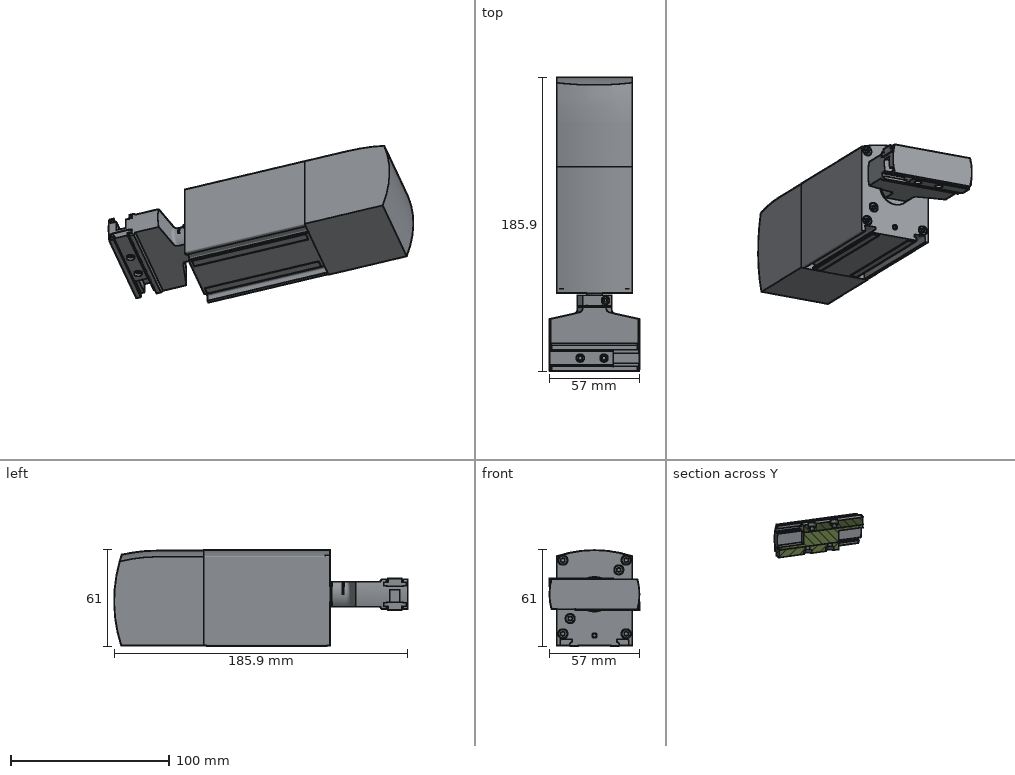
import cadquery as cq
import math


body_width = 48.0
half_width = body_width / 2
body_bottom = -32.5
arch_top = 28.0
shoulder_z = 24.0
housing_length = 80.0
edge_radius = 0.8
cap_drop = 0.3
cap_rear_y = 136.65
cap_rear_bulge = 4.5
cap_bulge_peak_z = -4.3
cap_curve_length = 28.2
cap_curve_radius = 108.0
cap_curve_angle = 20.0
cap_core_top = 15.0

slot_inner_x = 14.1
slot_outer_x = 21.6
slot_depth = 4.0
slot_corner_radius = 0.8
lip_width = 1.6
lip_height = 1.3
lip_slope_height = 1.2
pad_inner_x = 10.35
pad_outer_x = 15.4
pad_height = 0.5
pad_end_margin = 2.0

m3_thread = 3.0
m3_head = 5.5
m3_counterbore = 6.0
m3_head_height = 3.0
m3_hex = 2.5
hex_depth = 1.5
m3_length = 8.0
mount_offset = 15.4
corner_screw_x = 20.0
corner_screw_top_z = 21.5
corner_screw_bottom_z = -25.0

port_z = -26.1
port_diameter = 3.0
port_core = 2.46
port_mouth_depth = 1.0
port_depth = 6.0

pilot_diameter = 22.0
pilot_depth = 3.0
shaft_diameter = 10.0
shaft_tip_y = -12.0

hub_diameter = 22.0
hub_rear_y = -1.2
head_tip_y = -49.25
neck_half_height = 8.0
jaw_half_height = 9.5
flare_start_y = -31.6
flare_end_y = -32.8
shoulder_inner_x = 5.0
shoulder_inner_y = -11.1
wing_half_width = 28.5
wing_corner_y = -16.3
side_radius = 34.0
relief_rear_y = -7.8
relief_width = 1.0
hub_fillet = 2.0

clamp_screw_x = 7.0
clamp_screw_y = -4.5
m25_thread = 2.5
m25_head = 4.5
m25_counterbore = 5.0
m25_clearance = 2.7
m25_head_height = 2.5
m25_hex = 2.0
clamp_screw_tip_z = -6.0

strip_center_y = -41.0
strip_end_x = 12.0
strip_top_z = 10.0
strip_neck_width = 8.75
strip_neck_gap = 1.75
flange_width = 14.3
flange_top_z = 7.7
flange_bottom_z = 5.4
foot_width = 10.5
foot_bottom_z = 5.0
strip_hole_xs = (-9.0, 6.0)
strip_counterbore_depth = 2.5
pocket_width = 6.3
pocket_floor_z = -2.75


def box(x0, x1, y0, y1, z0, z1):
    size = (x1 - x0, y1 - y0, z1 - z0)
    return cq.Workplane("XY").box(*size, centered=False).translate((x0, y0, z0))


def rod_y(diameter, y_front, y_rear, x=0.0, z=0.0):
    """Cylinder along Y from y_front to y_rear."""
    base = cq.Workplane("XZ", origin=(x, y_front, z))
    return base.circle(diameter / 2).extrude(y_front - y_rear)


def hex_y(across_flats, depth, x, z):
    """Hexagonal socket sunk into the front face, two corners pointing up and down."""
    base = cq.Workplane("XZ", origin=(x, 0, z)).transformed(rotate=(0, 0, 90))
    return base.polygon(6, across_flats / math.cos(math.pi / 6)).extrude(-depth)


def rod_z(diameter, z_bottom, z_top, x, y):
    """Cylinder along Z from z_bottom to z_top."""
    base = cq.Workplane("XY", origin=(x, y, z_bottom))
    return base.circle(diameter / 2).extrude(z_top - z_bottom)


def arch_profile(y, bottom, drop=0.0):
    """Outline with an arched top, as wide as the body, in the plane at y."""
    return (
        cq.Workplane("XZ", origin=(0, y, 0))
        .moveTo(-half_width, bottom)
        .lineTo(half_width, bottom)
        .lineTo(half_width, shoulder_z - drop)
        .threePointArc((0, arch_top - drop), (-half_width, shoulder_z - drop))
        .close()
    )



def mounting_slot():
    """Lengthwise slot on the +X side with a hooked lip on its inner wall."""
    slot_top = body_bottom + slot_depth
    slot = box(slot_inner_x, slot_outer_x, 0, housing_length, body_bottom, slot_top)
    slot = slot.edges("|Y and >Z").fillet(slot_corner_radius)
    lip = (
        cq.Workplane("XZ")
        .moveTo(slot_inner_x, body_bottom)
        .lineTo(slot_inner_x + lip_width, body_bottom)
        .lineTo(slot_inner_x + lip_width, body_bottom + lip_height)
        .lineTo(slot_inner_x, body_bottom + lip_height + lip_slope_height)
        .close()
        .extrude(-housing_length)
    )
    return slot.cut(lip)


def corner_screw_cuts(x, z):
    """Ring gap and hex socket that form a screw head in one corner of the front face."""
    ring = rod_y(m3_counterbore, 0, m3_head_height, x, z)
    ring = ring.cut(rod_y(m3_head, 0, m3_head_height, x, z))
    return ring.union(hex_y(m3_hex, hex_depth, x, z))


def make_housing():
    body = arch_profile(0, body_bottom).extrude(-housing_length)
    body = body.edges("|Y").fillet(edge_radius)

    slot = mounting_slot()
    pad = box(
        pad_inner_x, pad_outer_x,
        pad_end_margin, housing_length - pad_end_margin,
        body_bottom - pad_height, body_bottom + lip_height,
    )
    body = body.cut(slot).cut(slot.mirror("YZ"))
    body = body.union(pad).union(pad.mirror("YZ"))

    for x in (-corner_screw_x, corner_screw_x):
        for z in (corner_screw_bottom_z, corner_screw_top_z):
            body = body.cut(corner_screw_cuts(x, z))

    for side in (-1, 1):
        x = z = side * mount_offset
        body = body.cut(rod_y(m3_counterbore, 0, m3_head_height, x, z))
        body = body.cut(rod_y(m3_thread, 0, m3_head_height + m3_length, x, z))

    body = body.cut(rod_y(port_diameter, 0, port_mouth_depth, 0, port_z))
    body = body.cut(rod_y(port_core, 0, port_depth, 0, port_z))
    return body.cut(rod_y(pilot_diameter, 0, pilot_depth))


def make_mount_screw(side):
    x = z = side * mount_offset
    screw = rod_y(m3_head, 0, m3_head_height, x, z)
    screw = screw.union(rod_y(m3_thread, m3_head_height, m3_head_height + m3_length, x, z))
    return screw.cut(hex_y(m3_hex, hex_depth, x, z))



def make_cap():
    """Arched cap whose top curves down towards a bulged rear face."""
    curve_y = cap_rear_y - cap_curve_length
    straight = arch_profile(housing_length, body_bottom, cap_drop).extrude(housing_length - curve_y)

    axis_z = arch_top - cap_drop - cap_curve_radius
    curved = arch_profile(curve_y, 0, cap_drop).revolve(cap_curve_angle, (1, axis_z, 0), (0, axis_z, 0))
    core = box(-half_width, half_width, curve_y, cap_rear_y, body_bottom, cap_core_top)

    half_chord = cap_bulge_peak_z - body_bottom
    rear_radius = (half_chord**2 + cap_rear_bulge**2) / (2 * cap_rear_bulge)
    rear_axis = (-half_width, cap_rear_y - rear_radius, cap_bulge_peak_z)
    envelope = cq.Workplane("YZ", origin=rear_axis).circle(rear_radius).extrude(body_width)
    return straight.union(core).union(curved).intersect(envelope)



def make_shaft():
    return rod_y(pilot_diameter, 0, pilot_depth).union(rod_y(shaft_diameter, shaft_tip_y, 0))



def tee_section(neck_width, neck_top_z, x0, x1):
    """T-shaped bar along X: narrow neck on top, wide flange, shallow foot below."""
    bar = None
    for width, z0, z1 in (
        (neck_width, flange_top_z, neck_top_z),
        (flange_width, flange_bottom_z, flange_top_z),
        (foot_width, foot_bottom_z, flange_bottom_z),
    ):
        y0 = strip_center_y - width / 2
        layer = box(x0, x1, y0, y0 + width, z0, z1)
        bar = layer if bar is None else bar.union(layer)
    return bar


def turn_over(shape):
    """Copy turned half a turn about the Y axis."""
    return shape.rotate((0, 0, 0), (0, 1, 0), 180)


def head_blank():
    """Flattened hub blending into wings that thicken at the jaw and have bowed ends."""
    hub_radius = hub_diameter / 2
    flats = box(-hub_radius, hub_radius, wing_corner_y, hub_rear_y, -neck_half_height, neck_half_height)
    hub = rod_y(hub_diameter, wing_corner_y, hub_rear_y).intersect(flats)

    plan_right = [
        (shoulder_inner_x, shoulder_inner_y),
        (wing_half_width, wing_corner_y),
        (wing_half_width, head_tip_y),
    ]
    plan_left = [(-x, y) for x, y in reversed(plan_right)]
    wings = (
        cq.Workplane("XY", origin=(0, 0, -neck_half_height))
        .polyline(plan_right + plan_left).close()
        .extrude(2 * neck_half_height)
    )
    neck = wings.union(hub).edges("%ELLIPSE").fillet(hub_fillet)

    profile_top = [
        (flare_start_y, neck_half_height),
        (flare_end_y, jaw_half_height),
        (head_tip_y, jaw_half_height),
    ]
    profile_bottom = [(y, -z) for y, z in reversed(profile_top)]
    jaw = (
        cq.Workplane("YZ", origin=(-wing_half_width, 0, 0))
        .polyline(profile_top + profile_bottom).close()
        .extrude(2 * wing_half_width)
    )

    bow = side_radius - math.sqrt(side_radius**2 - jaw_half_height**2)
    end_x = wing_half_width - bow
    ends = (
        cq.Workplane("XZ")
        .moveTo(-end_x, -jaw_half_height)
        .lineTo(end_x, -jaw_half_height)
        .threePointArc((wing_half_width, 0), (end_x, jaw_half_height))
        .lineTo(-end_x, jaw_half_height)
        .threePointArc((-wing_half_width, 0), (-end_x, -jaw_half_height))
        .close()
        .extrude(-head_tip_y)
    )
    return neck.union(jaw).intersect(ends)


def make_head():
    hub_radius = hub_diameter / 2
    head = head_blank().cut(rod_y(shaft_diameter, shaft_tip_y, 0))

    relief_front_y = relief_rear_y - relief_width
    head = head.cut(
        box(-hub_radius, hub_radius, relief_front_y, relief_rear_y, 0, neck_half_height)
    )

    seat_z = neck_half_height - m25_head_height
    at = (clamp_screw_x, clamp_screw_y)
    head = head.cut(rod_z(m25_counterbore, seat_z, neck_half_height, *at))
    head = head.cut(rod_z(m25_clearance, 0, seat_z, *at))
    head = head.cut(rod_z(m25_thread, clamp_screw_tip_z, 0, *at))

    slot_width = strip_neck_width + strip_neck_gap
    slot = tee_section(slot_width, strip_top_z, -wing_half_width, wing_half_width)
    pocket_y = strip_center_y - pocket_width / 2
    pocket = box(
        strip_end_x, wing_half_width,
        pocket_y, pocket_y + pocket_width,
        pocket_floor_z, foot_bottom_z,
    )
    for cutter in (slot, pocket):
        head = head.cut(cutter).cut(turn_over(cutter))
    return head


def make_clamp_screw():
    seat_z = neck_half_height - m25_head_height
    at = (clamp_screw_x, clamp_screw_y)
    screw = rod_z(m25_head, seat_z, neck_half_height, *at)
    screw = screw.union(rod_z(m25_thread, clamp_screw_tip_z, seat_z, *at))
    socket = (
        cq.Workplane("XY", origin=(*at, neck_half_height))
        .polygon(6, m25_hex / math.cos(math.pi / 6))
        .extrude(-hex_depth)
    )
    return screw.cut(socket)


def make_strip():
    """Upper jaw strip, flush with the -X end and stopping short of the +X end."""
    strip = tee_section(strip_neck_width, strip_top_z, -wing_half_width, strip_end_x)
    for x in strip_hole_xs:
        strip = strip.cut(rod_z(m25_clearance, foot_bottom_z, strip_top_z, x, strip_center_y))
        seat_z = strip_top_z - strip_counterbore_depth
        strip = strip.cut(rod_z(m25_counterbore, seat_z, strip_top_z, x, strip_center_y))
    return strip


housing = make_housing()
cap = make_cap()
shaft = make_shaft()
head = make_head()
clamp_screw = make_clamp_screw()
upper_strip = make_strip()
strips = [upper_strip, turn_over(upper_strip)]
mount_screws = [make_mount_screw(side) for side in (-1, 1)]

bodies = [housing, cap, shaft, head, clamp_screw, *strips, *mount_screws]
result = cq.Compound.makeCompound([body.val() for body in bodies])